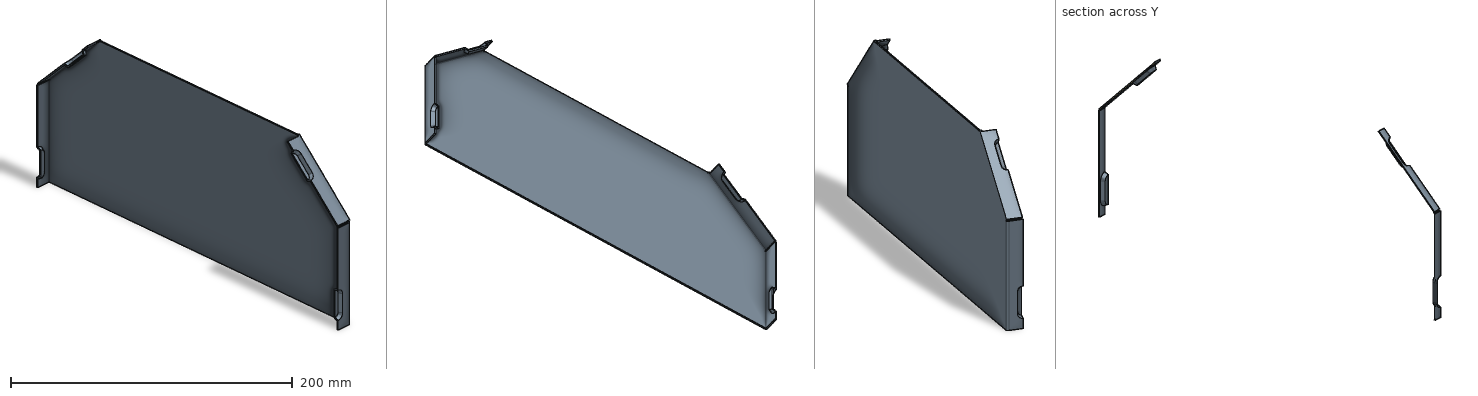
import cadquery as cq
import math

width = 300.0
height = 134.7
top_edge_drop = 1.0
corner_height = 83.7
sheet = 1.2
bend_inner = 0.3
bend_outer = bend_inner + sheet
side_depth = 12.5
slope_depth = 12.3
corner_gap = 1.0
slope_end_relief = 1.2

dimple_length = 24.5
dimple_radius = 4.5
dimple_floor_radius = 3.0
dimple_recess = 3.0
side_dimple_height = 20.0
slope_dimple_height = 119.7

half_width = width / 2
slope_rise = height - corner_height
slope_length = slope_rise * math.sqrt(2)
side_length = corner_height - corner_gap
slope_dimple_position = (slope_dimple_height - corner_height) * math.sqrt(2)


def make_panel():
    """Flat sheet, inset from the flange faces by the bend radius."""
    top = height - top_edge_drop
    side_x = half_width - bend_outer
    slope_sum = half_width + corner_height - bend_outer * math.sqrt(2)
    shoulder = slope_sum - side_x
    top_x = slope_sum - top
    points = [
        (-side_x, 0),
        (side_x, 0),
        (side_x, shoulder),
        (top_x, top),
        (-top_x, top),
        (-side_x, shoulder),
    ]
    return cq.Workplane("XZ").polyline(points).close().extrude(sheet)


def edge_plane(direction, inward, position):
    """Plane across an edge: local X inwards, local Y = global Y, normal along the edge."""
    start = cq.Vector(-half_width, 0, corner_height if direction[0] else 0)
    along = cq.Vector(*direction).normalized()
    return cq.Plane(start + along * position, inward, direction)


def make_bend(plane, length, rounded):
    """Corner strip joining panel and wall, with a rounded or sharp outer corner."""
    diagonal = math.sqrt(0.5)
    outer_mid = bend_outer - bend_outer * diagonal
    inner_mid = bend_outer - bend_inner * diagonal
    profile = cq.Workplane(plane).moveTo(bend_outer, 0)
    if rounded:
        profile = profile.threePointArc((outer_mid, -outer_mid), (0, -bend_outer))
    else:
        profile = profile.lineTo(0, 0).lineTo(0, -bend_outer)
    return (
        profile.lineTo(sheet, -bend_outer)
        .threePointArc((inner_mid, -inner_mid), (bend_outer, -sheet))
        .close()
        .extrude(length)
    )


def make_wall(plane, depth, length):
    return (
        cq.Workplane(plane)
        .moveTo(0, -bend_outer)
        .rect(sheet, bend_outer - depth, centered=False)
        .extrude(length)
    )


def tapered_half_slot(direction, inward, position, depth, growth, press_depth):
    """Tapered slot centred on the free edge, kept on the flange side only."""
    section = edge_plane(direction, inward, position)
    free_edge = section.toWorldCoords((0, -depth, 0))
    face = cq.Plane(free_edge, direction, inward)
    taper = math.degrees(math.atan2(dimple_radius - dimple_floor_radius, dimple_recess))
    slot = (
        cq.Workplane(face)
        .slot2D(dimple_length + 2 * growth, 2 * (dimple_radius + growth))
        .extrude(press_depth, taper=taper)
    )
    keep = (
        cq.Workplane(section)
        .center(0, -depth / 2)
        .rect(2 * depth, depth)
        .extrude(dimple_length, both=True)
    )
    return slot.intersect(keep)


def press_dimple(body, direction, inward, position, depth):
    """Add the inner bulge of the dimple, then hollow it from the outer face."""
    slant = math.hypot(dimple_radius - dimple_floor_radius, dimple_recess)
    wall_growth = sheet * (slant - dimple_radius + dimple_floor_radius) / dimple_recess
    taper_run = sheet * (dimple_radius - dimple_floor_radius) / dimple_recess
    bulge = tapered_half_slot(
        direction, inward, position, depth, wall_growth + taper_run, dimple_recess + sheet
    )
    recess = tapered_half_slot(direction, inward, position, depth, 0, dimple_recess)
    return body.union(bulge).cut(recess)


def make_side_flange():
    direction = (0, 0, 1)
    inward = (1, 0, 0)
    plane = edge_plane(direction, inward, 0)
    bend = make_bend(plane, side_length, rounded=True)
    flange = bend.union(make_wall(plane, side_depth, side_length))
    return press_dimple(flange, direction, inward, side_dimple_height, side_depth)


def make_slope_flange():
    direction = (1, 0, 1)
    inward = (1, 0, -1)
    plane = edge_plane(direction, inward, corner_gap)
    bend_length = slope_length - corner_gap
    bend = make_bend(plane, bend_length, rounded=False)
    wall = make_wall(plane, slope_depth, bend_length - slope_end_relief)
    flange = bend.union(wall)
    return press_dimple(flange, direction, inward, slope_dimple_position, slope_depth)


result = make_panel()
for flange in (make_side_flange(), make_slope_flange()):
    result = result.union(flange).union(flange.mirror("YZ"))